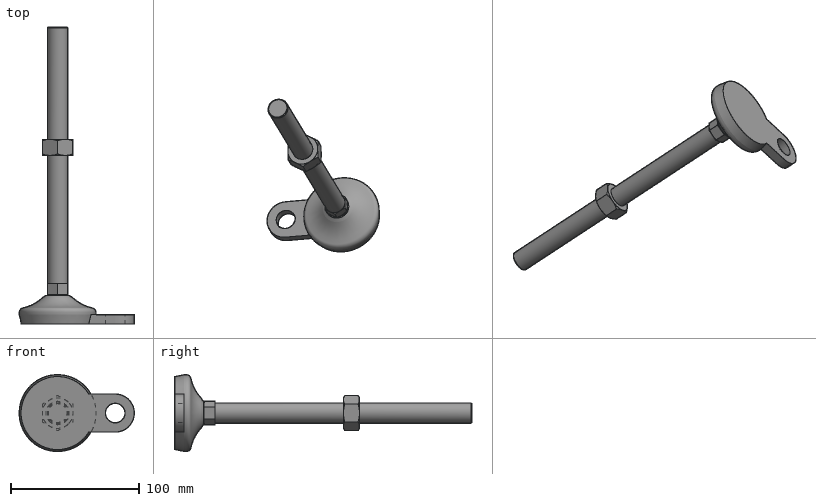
import cadquery as cq
import math

total_length = 232.0
overall_width = 90.0
hex_half_angle = 30.0

foot_radius = 30.05
base_radius = 28.5
pad_height = 7.5
rim_height = 9.0
rim_radius = 3.7
flank_slope = 12.0
cap_radius = 11.8
cap_height = 20.6
neck_radius = 9.0
neck_height = 22.5

lug_offset = 45.0
lug_radius = overall_width - foot_radius - lug_offset
hole_diameter = 15.0

stem_diameter = 16.0
stem_chamfer = 0.7
wrench_flats = 16.0
wrench_bottom = 23.0
wrench_top = 31.5

nut_flats = 24.0
nut_bottom = 131.8
nut_thickness = 12.5
nut_face_diameter = nut_flats
nut_chamfer_angle = 30.0


def section_at(height):
    """Workplane across the stem axis, with local Y along Z and extrusion along +Y."""
    return cq.Workplane(cq.Plane(origin=(0, height, 0), xDir=(-1, 0, 0), normal=(0, 1, 0)))


def hexagon(flats, bottom, height):
    """Hexagonal prism with two flats facing +X and -X."""
    corner_diameter = flats / math.cos(math.radians(hex_half_angle))
    return section_at(bottom).transformed(rotate=(0, 0, hex_half_angle)).polygon(6, corner_diameter).extrude(height)


def revolve_about_stem(outline):
    return outline.close().revolve(360, (0, 0, 0), (0, 1, 0))


def make_foot():
    def rim_point(angle):
        return (
            foot_radius - rim_radius + rim_radius * math.cos(math.radians(angle)),
            rim_height + rim_radius * math.sin(math.radians(angle)),
        )

    shoulder_angle = 90 - flank_slope
    outline = (
        cq.Workplane("XY")
        .lineTo(base_radius, 0)
        .lineTo(foot_radius, pad_height)
        .lineTo(foot_radius, rim_height)
        .threePointArc(rim_point(shoulder_angle / 2), rim_point(shoulder_angle))
        .tangentArcPoint((cap_radius, cap_height), relative=False)
        .lineTo(neck_radius, neck_height)
        .lineTo(0, neck_height)
    )
    return revolve_about_stem(outline)


def make_lug():
    bar = cq.Workplane("XY").box(lug_offset, pad_height, 2 * lug_radius, centered=(False, False, True))
    end = section_at(0).center(-lug_offset, 0).circle(lug_radius).extrude(pad_height)
    hole = section_at(0).center(-lug_offset, 0).circle(hole_diameter / 2).extrude(pad_height)
    return bar.union(end).cut(hole)


def make_stem():
    stem = section_at(0).circle(stem_diameter / 2).extrude(total_length)
    stem = stem.faces(">Y").chamfer(stem_chamfer)
    return stem.union(hexagon(wrench_flats, wrench_bottom, wrench_top - wrench_bottom))


def make_nut():
    face_radius = nut_face_diameter / 2
    corner_radius = nut_flats / 2 / math.cos(math.radians(hex_half_angle))
    chamfer_rise = (corner_radius - face_radius) * math.tan(math.radians(nut_chamfer_angle))
    nut_top = nut_bottom + nut_thickness
    blank = revolve_about_stem(
        cq.Workplane("XY")
        .moveTo(0, nut_bottom)
        .lineTo(face_radius, nut_bottom)
        .lineTo(corner_radius, nut_bottom + chamfer_rise)
        .lineTo(corner_radius, nut_top - chamfer_rise)
        .lineTo(face_radius, nut_top)
        .lineTo(0, nut_top)
    )
    return hexagon(nut_flats, nut_bottom, nut_thickness).intersect(blank)


result = make_foot().union(make_lug()).union(make_stem()).union(make_nut())